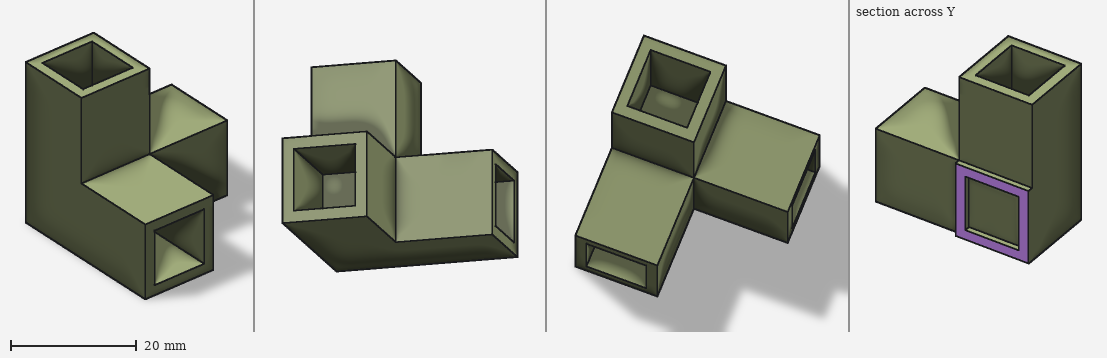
import cadquery as cq

overall = 30.0
leg_width = 14.0
socket_width = 10.2

socket_depth = overall - leg_width
wall = (leg_width - socket_width) / 2


def box_along(axis, start, length, inset, width):
    """Square bar along one axis, inset equally from the other two planes."""
    sizes = [width] * 3
    corner = [inset] * 3
    sizes[axis] = length
    corner[axis] = start
    return cq.Workplane("XY").box(*sizes, centered=False).translate(tuple(corner))


result = box_along(0, 0, overall, 0, leg_width)
for axis in (1, 2):
    result = result.union(box_along(axis, 0, overall, 0, leg_width))

for axis in range(3):
    result = result.cut(box_along(axis, leg_width, socket_depth, wall, socket_width))